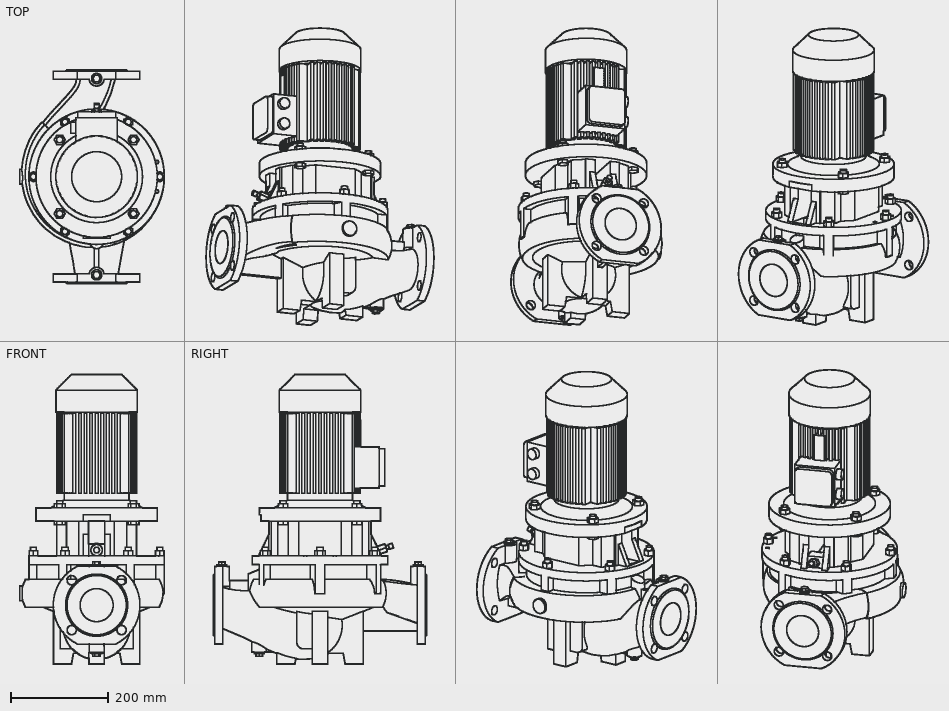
import cadquery as cq
import math


HEIGHT = 596
Z_NOZZLE = 121.2
Z_VOLUTE_LOW = 116.7
Z_VOLUTE_HIGH = 174
Z_VOLUTE_MID = (Z_VOLUTE_LOW + Z_VOLUTE_HIGH) / 2
Z_COVER_LOW = 204.6
Z_COVER_HIGH = 222.6
Z_LANTERN_FLANGE = 294
Z_LANTERN_TOP = 321.3
Z_CONE_TOP = 337.5
Z_FIN_LOW = 351.5
Z_FIN_HIGH = 515.5
Z_COWL_LOW = 518.4
Z_COWL_SHOULDER = 563.7

FACE_TO_FACE = 440
FLANGE_R = 89.25
FLANGE_FLAT = 80
FLANGE_T = 17
RAISED_BASE_R = 64
RAISED_FACE_R = 61
RAISED_T = 3
PORT_R = 34
PORT_MARK_DEPTH = 0.5
FLANGE_HOLE_D = 19
FLANGE_HOLE_OFFSET = 51.3
FLANGE_INNER_Y = FACE_TO_FACE / 2 - RAISED_T - FLANGE_T
PIPE_OVERLAP = 4

COVER_R = 139.5
NECK_R = 123.5
STUD_COUNT = 6
STUD_PCR = 130
STUD_BOSS_W = 19
STUD_BOSS_FLARE = 30
STUD_BOSS_ROOT = 10
Z_STUD_BOSS_LOW = 145
JACK_HOLE_D = 7
JACK_HOLE_X = 124
JACK_HOLE_Y = 30.3
JACK_HOLE_DEPTH = 10
DRIP_POCKET_LENGTH = 42
DRIP_POCKET_DEPTH = 16

SPIRAL_START_R = 136.7
SPIRAL_GROWTH = 0.1
SPIRAL_END = 225
SPIRAL_STEP = 25
VOLUTE_BULGE = 8
LOWER_CONE_R = 110
LOWER_CONE_SMALL_R = 48
LOWER_CONE_H = 25

BOWL_CENTRE_Y = -20
BOWL_CENTRE_Z = 80
BOWL_R = 69.5
BOWL_LENGTH = 67.5

FOOT_REACH = 89
FOOT_W = 32
FOOT_INNER_LOW = 51.5
FOOT_INNER_HIGH = 47.5
FOOT_GAP_H = 22
GUSSET_HALF_W = 75
GUSSET_Y = (-48, 0)
GUSSET_LOW = 31
GUSSET_ROUND = 15
RIB_T = 9.6
SUCTION_RIB_Y = (-186, -130)
SUCTION_RIB_TOP = 172
DISCHARGE_RIB_LOW = 68

PLUG_BOSS_R = 15.5
PLUG_Y = 202
PLUG_BOSS_LOW = 160
DRAIN_Y = -125
Z_DRAIN = 24.8
SUPPORT_BOSS_R = 14
SUPPORT_BOSS_Y = -134
SUPPORT_TOP_LOW = 185.3
SUPPORT_TOP_HIGH = 197
MARK_DISC_R = 15.4
MARK_DISC_X = -158.5
MARK_DISC_L = 30

STUD_D = 12.5
STUD_NUT_AF = 18
STUD_NUT_H = 10.8
STUD_H = 18
BOLT_D = 13
BOLT_NUT_AF = 19.5
BOLT_NUT_H = 9
BOLT_TIP_H = 15
BOLT_HEAD_H = 7
BOLT_OFFSET = 76
BOLT_CLEARANCE_R = 14.2
PLUG_WASHER_R = 10.5
PLUG_WASHER_H = 3.5
PLUG_HEX_AF = 13.6
PLUG_H = 9
PLUG_STEM_R = 6.5
PLUG_STEM_L = 12

LANTERN_R = 107
FRAME_Y = 105.3
LANTERN_FLANGE_R = 125
LANTERN_SIDE = 82.4
SIDE_HALF = 44
POCKET_X = 62.4
POCKET_Y = 65.3
FRAME_HALF = 36.6
WINDOW_HALF = 16.5
RIB_OUTER = 28
RIB_TOP_Z = 267
RIB_FOOT_Y = 126.6
NOTCH_TOP = 307
NOTCH_FLAT_Y = 121.5
VENT_BLOCK_Y = (88, 116)
VENT_BLOCK_TOP = 247
VENT_RING_R = 11.8
VENT_RING_BORE_AF = 11
VENT_RING_H = 2

VENT_TILT = 18
VENT_SEAT_Y = 118
VENT_SEAT_Z = 233.5
VENT_STEM_R = 5
VENT_STEM_L = 12
VENT_HEX_AF = 17
VENT_HEX_L = 19
VENT_NECK_R = 4
VENT_NECK_L = 25
VENT_TIP_R = 5.2
VENT_TIP_L = 33.5

CONE_R = 94.5
MOTOR_NECK_R = 67
COWL_R = 84
COWL_TOP_R = 51.5
FIN_R = 82.3
FIN_T = 5.7
FIN_PITCH = 11.45
FINS_EACH_SIDE = 4
PLATE_HALF_W = 11
PLATE_Y = 84
PLATE_Z = (447, 501.5)

BOX_HALF_W = 42.5
BOX_Y = (70, 121.5)
BOX_Z = (362.2, 447)
LID_HALF_W = 39.2
LID_Y = 133.6
LID_Z = (366, 443.4)
LID_ROUND = 8
GLAND_R = 11.1
GLAND_L = 11
GLAND_Y = 101
GLAND_Z = (384, 427)


def block(x, y, z):
    """Box given by its (low, high) limits along each axis."""
    size = [limits[1] - limits[0] for limits in (x, y, z)]
    return cq.Workplane("XY").box(*size, centered=False).translate((x[0], y[0], z[0]))


def post(radius, z_low, z_high, x=0, y=0):
    """Upright cylinder."""
    return cq.Workplane("XY", origin=(x, y, z_low)).circle(radius).extrude(z_high - z_low)


def hexagon(across_flats, z_low, z_high, x=0, y=0):
    """Upright hexagonal prism."""
    diameter = across_flats / math.cos(math.pi / 6)
    return cq.Workplane("XY", origin=(x, y, z_low)).polygon(6, diameter).extrude(z_high - z_low)


def around_axis(shape, angle):
    return shape.rotate((0, 0, 0), (0, 0, 1), angle)


def volute_outline(inset, z):
    """Spiral outline running clockwise from +X, closed by an arc round the tongue."""
    base_r = SPIRAL_START_R - inset

    def polar(radius, degrees):
        return (radius * math.cos(math.radians(degrees)), radius * math.sin(math.radians(degrees)))

    rim = [polar(base_r + SPIRAL_GROWTH * a, -a) for a in range(0, SPIRAL_END + 1, SPIRAL_STEP)]
    tongue_end = 360 - SPIRAL_END
    wire = (
        cq.Workplane("XY", origin=(0, 0, z))
        .moveTo(*rim[0])
        .spline(rim[1:], includeCurrent=True)
        .lineTo(*polar(base_r, tongue_end))
        .threePointArc(polar(base_r, tongue_end / 2), rim[0])
        .close()
    )
    return wire.val()


def make_volute():
    outlines = [
        volute_outline(VOLUTE_BULGE, Z_VOLUTE_LOW),
        volute_outline(0, Z_VOLUTE_MID),
        volute_outline(VOLUTE_BULGE, Z_VOLUTE_HIGH),
    ]
    volute = cq.Workplane(cq.Solid.makeLoft(outlines))
    cone = (
        cq.Workplane("XY", origin=(0, 0, Z_VOLUTE_LOW))
        .circle(LOWER_CONE_R)
        .workplane(offset=-LOWER_CONE_H)
        .circle(LOWER_CONE_SMALL_R)
        .loft()
    )
    return volute.union(cone)


def section_plane(centre, heading):
    """Upright plane across a pipe whose level direction is the heading in degrees."""
    normal = cq.Vector(math.cos(math.radians(heading)), math.sin(math.radians(heading)), 0)
    across = cq.Vector(normal.y, -normal.x, 0)
    return cq.Workplane(cq.Plane(origin=centre, xDir=across, normal=normal))


def discharge_section(centre, heading, half_width, half_height):
    """Section with level top and bottom and bulged sides, like that of the volute."""
    flat = half_width - VOLUTE_BULGE
    section = (
        section_plane(centre, heading)
        .moveTo(-flat, -half_height)
        .lineTo(flat, -half_height)
        .threePointArc((half_width, 0), (flat, half_height))
        .lineTo(-flat, half_height)
        .threePointArc((-half_width, 0), (-flat, -half_height))
        .close()
    )
    return section.val()


def suction_section(y, z, half_width, half_height):
    return section_plane((0, y, z), 90).ellipse(half_width, half_height).val()


def make_discharge_pipe():
    """S-bend from the volute throat to the flange, as centre, heading and half sizes."""
    end_y = FLANGE_INNER_Y + PIPE_OVERLAP
    half_height = (Z_VOLUTE_HIGH - Z_VOLUTE_LOW) / 2
    start = discharge_section((-85, 76, Z_VOLUTE_MID), 49, 42, half_height - 1)
    throat = discharge_section((-50, 119, Z_VOLUTE_MID), 52, 41, half_height)
    bend = discharge_section((-12, 170, 133), 65, 38, 34)
    end = discharge_section((-2, end_y, Z_NOZZLE + 1), 90, 41, 40)
    return cq.Workplane(cq.Solid.makeLoft([start, throat, bend, end]))


def make_suction_pipe():
    """Widening pipe from the flange down to the bowl, as Y, Z and half sizes."""
    start_y = -FLANGE_INNER_Y - PIPE_OVERLAP
    sections = [
        suction_section(start_y, 117, 44, 43),
        suction_section(-142, 99, 55, 52),
        suction_section(-88, 86, 65, 65),
        suction_section(-52, BOWL_CENTRE_Z, BOWL_R, BOWL_R),
        suction_section(BOWL_CENTRE_Y, BOWL_CENTRE_Z, BOWL_R, BOWL_R),
    ]
    pipe = cq.Workplane(cq.Solid.makeLoft(sections))
    bowl = (
        cq.Workplane("XY")
        .ellipseArc(BOWL_R, BOWL_LENGTH, 0, 90, startAtCurrent=False)
        .lineTo(0, 0)
        .close()
        .revolve(360, (0, 0, 0), (0, 1, 0))
        .translate((0, BOWL_CENTRE_Y, BOWL_CENTRE_Z))
    )
    return pipe.union(bowl)


def make_nozzle_flange():
    """Flange of the -Y nozzle, with raised face, bolt holes and the port outline."""
    face_y = -FACE_TO_FACE / 2
    flange = cq.Workplane("XZ", origin=(0, -FLANGE_INNER_Y, Z_NOZZLE)).circle(FLANGE_R).extrude(FLANGE_T)
    flats = block(
        (-FLANGE_R, FLANGE_R),
        (face_y, -FLANGE_INNER_Y),
        (Z_NOZZLE - FLANGE_FLAT, Z_NOZZLE + FLANGE_FLAT),
    )
    raised = (
        cq.Workplane("XZ", origin=(0, face_y + RAISED_T, Z_NOZZLE))
        .circle(RAISED_BASE_R)
        .workplane(offset=RAISED_T)
        .circle(RAISED_FACE_R)
        .loft()
    )
    holes = (
        cq.Workplane("XZ", origin=(0, -FLANGE_INNER_Y, Z_NOZZLE))
        .rect(2 * FLANGE_HOLE_OFFSET, 2 * FLANGE_HOLE_OFFSET, forConstruction=True)
        .vertices()
        .circle(FLANGE_HOLE_D / 2)
        .extrude(FLANGE_T + RAISED_T)
    )
    port = cq.Workplane("XZ", origin=(0, face_y + PORT_MARK_DEPTH, Z_NOZZLE)).circle(PORT_R).extrude(RAISED_T)
    top = Z_NOZZLE + FLANGE_FLAT
    boss = post(PLUG_BOSS_R, PLUG_BOSS_LOW, top, y=-PLUG_Y)
    boss = boss.intersect(block((-FLANGE_R, FLANGE_R), (-FLANGE_INNER_Y - PIPE_OVERLAP, 0), (0, HEIGHT)))
    return flange.intersect(flats).union(raised).cut(holes).cut(port).union(boss)


def make_cover():
    """Clamping disc on its neck, with a boss, stud and nut at each fixing.

    A drip pocket under the -Y window of the lantern slopes down toward the axis.
    """
    cover = post(COVER_R, Z_COVER_LOW, Z_COVER_HIGH)
    cover = cover.union(post(NECK_R, Z_VOLUTE_MID, Z_COVER_LOW))
    half = STUD_BOSS_W / 2
    root = NECK_R - STUD_BOSS_ROOT
    flare = (COVER_R - root) * math.tan(math.radians(STUD_BOSS_FLARE))
    boss = (
        cq.Workplane("XY", origin=(0, 0, Z_STUD_BOSS_LOW))
        .polyline([(root, half), (COVER_R, half), (COVER_R, -half), (root, -half - flare)])
        .close()
        .extrude(Z_COVER_LOW - Z_STUD_BOSS_LOW)
    )
    boss = boss.intersect(post(COVER_R, 0, HEIGHT))
    nut = hexagon(STUD_NUT_AF, Z_COVER_HIGH, Z_COVER_HIGH + STUD_NUT_H, x=STUD_PCR)
    nut = nut.rotate((STUD_PCR, 0, 0), (STUD_PCR, 0, 1), 30)
    stud = post(STUD_D / 2, Z_COVER_HIGH, Z_COVER_HIGH + STUD_H, x=STUD_PCR)
    for i in range(STUD_COUNT):
        angle = i * 360 / STUD_COUNT
        cover = cover.union(around_axis(boss, angle)).union(around_axis(nut.union(stud), angle))
    for y in (-JACK_HOLE_Y, JACK_HOLE_Y):
        cover = cover.cut(post(JACK_HOLE_D / 2, Z_COVER_HIGH - JACK_HOLE_DEPTH, Z_COVER_HIGH, JACK_HOLE_X, y))
    inner_y = -RIB_FOOT_Y + DRIP_POCKET_LENGTH
    floor_z = Z_COVER_HIGH - DRIP_POCKET_DEPTH
    wedge = [(-RIB_FOOT_Y, Z_COVER_HIGH), (inner_y, floor_z), (inner_y, Z_COVER_HIGH)]
    drip_pocket = cq.Workplane("YZ").polyline(wedge).close().extrude(WINDOW_HALF, both=True)
    return cover.cut(drip_pocket)


def make_feet():
    """Crossed webs that end in four feet, with a gusset on the suction side."""
    reach = (-FOOT_REACH, FOOT_REACH)
    width = (-FOOT_W / 2, FOOT_W / 2)
    height = (0, Z_NOZZLE)
    feet = block(reach, width, height).union(block(width, reach, height))
    gap = (
        cq.Workplane("XY")
        .rect(2 * FOOT_INNER_LOW, 2 * FOOT_INNER_LOW)
        .workplane(offset=FOOT_GAP_H)
        .rect(2 * FOOT_INNER_HIGH, 2 * FOOT_INNER_HIGH)
        .loft()
    )
    gusset = block((-GUSSET_HALF_W, GUSSET_HALF_W), GUSSET_Y, (GUSSET_LOW, Z_NOZZLE))
    gusset = gusset.edges("<Y and <Z").fillet(GUSSET_ROUND)
    return feet.cut(gap).union(gusset)


def make_casing_ribs():
    half = RIB_T / 2
    suction_rib = block((-half, half), SUCTION_RIB_Y, (Z_NOZZLE, SUCTION_RIB_TOP))
    discharge_rib = block(
        (-half, half),
        (FOOT_INNER_HIGH, FLANGE_INNER_Y + PIPE_OVERLAP),
        (DISCHARGE_RIB_LOW, Z_NOZZLE),
    )
    drain_rib = block((-half, half), (DRAIN_Y, -FOOT_INNER_HIGH), (Z_DRAIN, BOWL_CENTRE_Z))
    return suction_rib.union(discharge_rib).union(drain_rib)


def make_casing_bosses():
    drain = post(PLUG_BOSS_R, Z_DRAIN, Z_NOZZLE, y=DRAIN_Y)
    slope = [
        (SUPPORT_BOSS_Y - SUPPORT_BOSS_R, Z_NOZZLE),
        (SUPPORT_BOSS_Y - SUPPORT_BOSS_R, SUPPORT_TOP_LOW),
        (SUPPORT_BOSS_Y + SUPPORT_BOSS_R, SUPPORT_TOP_HIGH),
        (SUPPORT_BOSS_Y + SUPPORT_BOSS_R, Z_NOZZLE),
    ]
    support = post(SUPPORT_BOSS_R, Z_NOZZLE, Z_COVER_LOW, y=SUPPORT_BOSS_Y)
    support = support.intersect(cq.Workplane("YZ").polyline(slope).close().extrude(SUPPORT_BOSS_R, both=True))
    disc = cq.Workplane("YZ", origin=(MARK_DISC_X, 0, Z_VOLUTE_MID)).circle(MARK_DISC_R).extrude(MARK_DISC_L)
    return drain.union(support).union(disc)


def make_plug():
    """Screw plug that seats on Z = 0, its stem pointing down."""
    plug = post(PLUG_WASHER_R, 0, PLUG_WASHER_H)
    plug = plug.union(hexagon(PLUG_HEX_AF, PLUG_WASHER_H, PLUG_H))
    return plug.union(post(PLUG_STEM_R, -PLUG_STEM_L, 0))


def make_plugs():
    upright = make_plug()
    top = Z_NOZZLE + FLANGE_FLAT
    drain = upright.rotate((0, 0, 0), (1, 0, 0), 180).translate((0, DRAIN_Y, Z_DRAIN))
    gauges = [upright.translate((0, y, top)) for y in (-PLUG_Y, PLUG_Y)]
    return [*gauges, drain]


def make_casing(plugs):
    flange = make_nozzle_flange()
    casing = make_volute().union(make_cover()).union(make_discharge_pipe()).union(make_suction_pipe())
    casing = casing.union(flange).union(around_axis(flange, 180))
    casing = casing.union(make_feet()).union(make_casing_ribs()).union(make_casing_bosses())
    for plug in plugs:
        casing = casing.cut(plug)
    return casing


def make_lantern_body():
    """Barrel with flat sides and four bolt pockets, framed at both windows."""
    pocket_end = math.sqrt(LANTERN_R ** 2 - POCKET_X ** 2)
    height = Z_LANTERN_FLANGE - Z_COVER_HIGH
    barrel = (
        cq.Workplane("XY", origin=(0, 0, Z_COVER_HIGH))
        .moveTo(-POCKET_X, -pocket_end)
        .threePointArc((0, -LANTERN_R), (POCKET_X, -pocket_end))
        .lineTo(POCKET_X, -POCKET_Y)
        .lineTo(LANTERN_SIDE, -SIDE_HALF)
        .lineTo(LANTERN_SIDE, SIDE_HALF)
        .lineTo(POCKET_X, POCKET_Y)
        .lineTo(POCKET_X, pocket_end)
        .threePointArc((0, LANTERN_R), (-POCKET_X, pocket_end))
        .lineTo(-POCKET_X, POCKET_Y)
        .lineTo(-LANTERN_SIDE, SIDE_HALF)
        .lineTo(-LANTERN_SIDE, -SIDE_HALF)
        .lineTo(-POCKET_X, -POCKET_Y)
        .close()
        .extrude(height)
    )
    face = block((-POCKET_X, POCKET_X), (FRAME_Y, LANTERN_R), (Z_COVER_HIGH, Z_LANTERN_FLANGE))
    barrel = barrel.cut(face).cut(around_axis(face, 180))
    for x in (-BOLT_OFFSET, BOLT_OFFSET):
        for y in (-BOLT_OFFSET, BOLT_OFFSET):
            barrel = barrel.cut(post(BOLT_CLEARANCE_R, Z_COVER_HIGH, Z_LANTERN_FLANGE, x, y))
    frame = block((-FRAME_HALF, FRAME_HALF), (-FRAME_Y, FRAME_Y), (Z_COVER_HIGH, Z_LANTERN_FLANGE))
    rib_profile = [
        (-RIB_FOOT_Y, Z_COVER_HIGH),
        (-FRAME_Y, RIB_TOP_Z),
        (FRAME_Y, RIB_TOP_Z),
        (RIB_FOOT_Y, Z_COVER_HIGH),
    ]
    ribs = cq.Workplane("YZ").polyline(rib_profile).close().extrude(RIB_OUTER, both=True)
    window = block(
        (-WINDOW_HALF, WINDOW_HALF),
        (-COVER_R, COVER_R),
        (Z_COVER_HIGH, Z_LANTERN_FLANGE),
    )
    return barrel.union(frame).union(ribs).cut(window)


def make_lantern_flange():
    flange = post(LANTERN_FLANGE_R, Z_LANTERN_FLANGE, Z_LANTERN_TOP)
    notch = block((-RIB_OUTER, RIB_OUTER), (-LANTERN_FLANGE_R, -NOTCH_FLAT_Y), (Z_LANTERN_FLANGE, NOTCH_TOP))
    flange = flange.cut(notch)
    for x in (-BOLT_OFFSET, BOLT_OFFSET):
        for y in (-BOLT_OFFSET, BOLT_OFFSET):
            nut = hexagon(BOLT_NUT_AF, Z_LANTERN_TOP, Z_LANTERN_TOP + BOLT_NUT_H, x, y)
            tip = post(BOLT_D / 2, Z_LANTERN_TOP, Z_LANTERN_TOP + BOLT_TIP_H, x, y)
            head = hexagon(BOLT_NUT_AF, Z_LANTERN_FLANGE - BOLT_HEAD_H, Z_LANTERN_FLANGE, x, y)
            flange = flange.union(nut).union(tip).union(head)
    return flange


def make_vent_block():
    """Block across the +Y window, with a socketed ring on its inner face."""
    seat = block((-WINDOW_HALF, WINDOW_HALF), VENT_BLOCK_Y, (Z_COVER_HIGH, VENT_BLOCK_TOP))
    ring = (
        cq.Workplane("XZ", origin=(0, VENT_BLOCK_Y[0], Z_COVER_HIGH + VENT_RING_R))
        .circle(VENT_RING_R)
        .polygon(6, VENT_RING_BORE_AF / math.cos(math.pi / 6))
        .extrude(VENT_RING_H)
    )
    return seat.union(ring)


def make_vent():
    """Vent valve, leaning up and outward to +Y."""
    vent = post(VENT_STEM_R, -VENT_STEM_L, 0)
    vent = vent.union(hexagon(VENT_HEX_AF, 0, VENT_HEX_L))
    vent = vent.union(post(VENT_NECK_R, VENT_HEX_L, VENT_NECK_L))
    vent = vent.union(post(VENT_TIP_R, VENT_NECK_L, VENT_TIP_L))
    tilted = vent.rotate((0, 0, 0), (1, 0, 0), VENT_TILT - 90)
    return tilted.translate((0, VENT_SEAT_Y, VENT_SEAT_Z))


def make_lantern(vent):
    return make_lantern_body().union(make_vent_block()).union(make_lantern_flange()).cut(vent)


def make_motor_fins():
    """Parallel fins on four sides, trimmed to a round envelope."""
    fins = cq.Workplane("XY")
    for i in range(-FINS_EACH_SIDE, FINS_EACH_SIDE + 1):
        centre = i * FIN_PITCH
        across = (centre - FIN_T / 2, centre + FIN_T / 2)
        fin = block(across, (-FIN_R, FIN_R), (Z_FIN_LOW, Z_FIN_HIGH))
        fins = fins.union(fin).union(around_axis(fin, 90))
    return fins.intersect(post(FIN_R, Z_FIN_LOW, Z_FIN_HIGH))


def make_motor(terminal_box):
    profile = [
        (0, Z_LANTERN_TOP),
        (CONE_R, Z_LANTERN_TOP),
        (MOTOR_NECK_R, Z_CONE_TOP),
        (MOTOR_NECK_R, Z_COWL_LOW),
        (COWL_R, Z_COWL_LOW),
        (COWL_R, Z_COWL_SHOULDER),
        (COWL_TOP_R, HEIGHT),
        (0, HEIGHT),
    ]
    body = cq.Workplane("XZ").polyline(profile).close().revolve(360, (0, 0, 0), (0, 1, 0))
    plate = block((-PLATE_HALF_W, PLATE_HALF_W), (0, PLATE_Y), PLATE_Z)
    return body.union(make_motor_fins()).union(plate).cut(terminal_box)


def make_terminal_box():
    box = block((-BOX_HALF_W, BOX_HALF_W), BOX_Y, BOX_Z)
    lid = block((-LID_HALF_W, LID_HALF_W), (BOX_Y[1], LID_Y), LID_Z).edges("|Y").fillet(LID_ROUND)
    box = box.union(lid)
    for z in GLAND_Z:
        gland = cq.Workplane("YZ", origin=(-BOX_HALF_W, GLAND_Y, z)).circle(GLAND_R).extrude(-GLAND_L)
        box = box.union(gland)
    return box


plugs = make_plugs()
casing = make_casing(plugs)
vent = make_vent()
lantern = make_lantern(vent)
terminal_box = make_terminal_box()
motor = make_motor(terminal_box)

result = cq.Compound.makeCompound([
    casing.val(),
    lantern.val(),
    motor.val(),
    terminal_box.val(),
    vent.val(),
    *[plug.val() for plug in plugs],
])